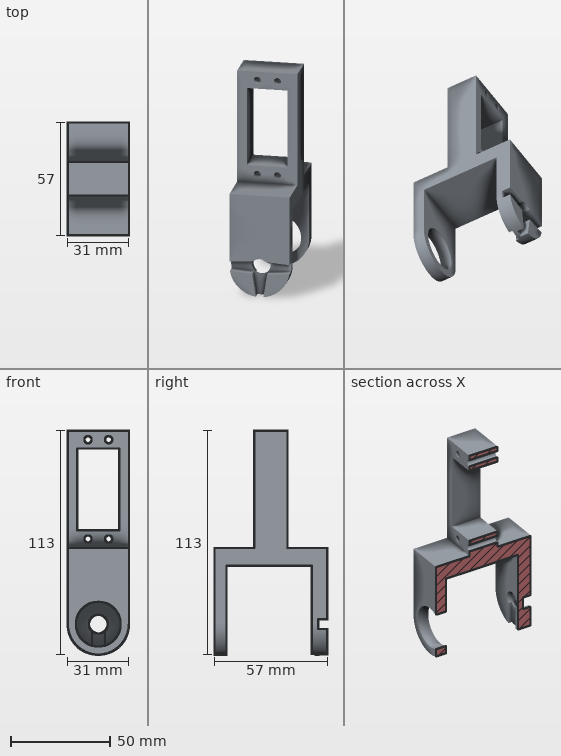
import cadquery as cq

width = 31.0
depth = 57.0
height = 113.0

fork_height = 53.9
bridge_thickness = 9.0
front_arm_thickness = 6.2
rear_arm_thickness = 7.9
arm_radius = width / 2

front_bore_diameter = 22.6
rear_bore_diameter = 9.4

cross_groove_middle_height = 7.3
cross_groove_end_height = 4.9
outer_groove_depth = 4.5
tapered_groove_top_width = 8.6
tapered_groove_bottom_width = 4.0
inner_groove_width = 6.5
inner_groove_depth = 1.9

frame_depth = 17.0
frame_border = 9.0
window_width = 21.0
screw_hole_diameter = 3.5
screw_spacing = 10.4

bottom = -arm_radius
fork_top = bottom + fork_height
frame_height = height - fork_height
frame_middle = fork_top + frame_height / 2
front_face = -depth / 2
rear_face = depth / 2
front_arm_inner = front_face + front_arm_thickness
rear_arm_inner = rear_face - rear_arm_thickness


def block(x_size, y_range, z_range):
    """Box centred on X = 0 that spans the given Y and Z ranges."""
    y_size = y_range[1] - y_range[0]
    z_size = z_range[1] - z_range[0]
    box = cq.Workplane("XY").box(x_size, y_size, z_size, centered=(True, False, False))
    return box.translate((0, y_range[0], z_range[0]))


def cylinder(diameter, y_range, x=0, z=0):
    """Cylinder along Y that spans the given Y range."""
    length = y_range[1] - y_range[0]
    start = cq.Vector(x, y_range[0], z)
    return cq.Workplane(cq.Solid.makeCylinder(diameter / 2, length, start, cq.Vector(0, 1, 0)))


def make_fork():
    full_depth = (front_face, rear_face)
    arm_gap = (front_arm_inner, rear_arm_inner)
    fork = block(width, full_depth, (0, fork_top))
    fork = fork.union(cylinder(width, full_depth))
    fork = fork.cut(block(width, arm_gap, (bottom, fork_top - bridge_thickness)))
    fork = fork.cut(cylinder(front_bore_diameter, (front_face, front_arm_inner)))
    return fork.cut(cylinder(rear_bore_diameter, (rear_arm_inner, rear_face)))


def outer_groove(outline):
    """Groove of the given X-Z outline, sunk into the outer face of the rear arm."""
    sketch = cq.Workplane("XZ", origin=(0, rear_face, 0)).polyline(outline).close()
    return sketch.extrude(outer_groove_depth)


def cut_rear_arm_grooves(body):
    side = width / 2
    half_middle = cross_groove_middle_height / 2
    half_end = cross_groove_end_height / 2
    upper_edge = [(-side, half_end), (0, half_middle), (side, half_end)]
    lower_edge = [(side, -half_end), (0, -half_middle), (-side, -half_end)]
    body = body.cut(outer_groove(upper_edge + lower_edge))
    half_top = tapered_groove_top_width / 2
    half_bottom = tapered_groove_bottom_width / 2
    top_edge = [(-half_top, 0), (half_top, 0)]
    bottom_edge = [(half_bottom, bottom), (-half_bottom, bottom)]
    body = body.cut(outer_groove(top_edge + bottom_edge))
    inner_range = (rear_arm_inner, rear_arm_inner + inner_groove_depth)
    return body.cut(block(inner_groove_width, inner_range, (bottom, 0)))


def make_frame():
    frame_range = (-frame_depth / 2, frame_depth / 2)
    frame = block(width, frame_range, (fork_top, height + bottom))
    window_range = (fork_top + frame_border, height + bottom - frame_border)
    frame = frame.cut(block(window_width, frame_range, window_range))
    screw_offset = (frame_height - frame_border) / 2
    for x_side in (-1, 1):
        for z_side in (-1, 1):
            x = x_side * screw_spacing / 2
            z = frame_middle + z_side * screw_offset
            frame = frame.cut(cylinder(screw_hole_diameter, frame_range, x, z))
    return frame


result = cut_rear_arm_grooves(make_fork()).union(make_frame())